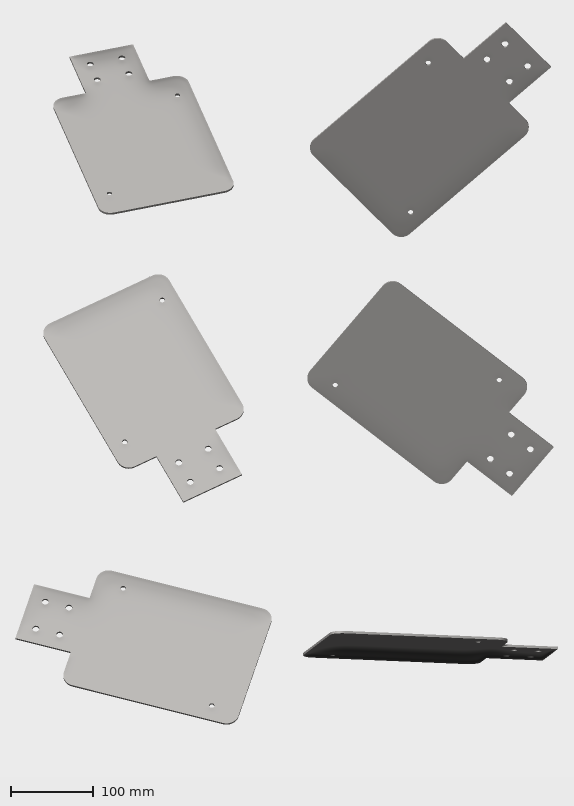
import cadquery as cq

total_length = 290.0
panel_width = 170.0
thickness = 3.0
corner_radius = 15.0

tab_length = 70.0
tab_width = 80.0
tab_hole_diameter = 8.0
tab_hole_edge_distance = 20.0
tab_hole_spacing_x = 30.0
tab_hole_spacing_y = 40.0

panel_hole_diameter = 6.5
panel_hole_inset_x = 35.0
panel_hole_inset_y = 20.0

left_end = -total_length / 2
panel_length = total_length - tab_length
panel_center_x = left_end + tab_length + panel_length / 2
tab_hole_center_x = left_end + tab_hole_edge_distance + tab_hole_spacing_x / 2
panel_hole_x = panel_length / 2 - panel_hole_inset_x
panel_hole_y = panel_width / 2 - panel_hole_inset_y

panel = (
    cq.Workplane("XY")
    .center(panel_center_x, 0)
    .rect(panel_length, panel_width)
    .extrude(thickness)
    .edges("|Z")
    .fillet(corner_radius)
)

tab = (
    cq.Workplane("XY")
    .center(left_end + tab_length / 2, 0)
    .rect(tab_length, tab_width)
    .extrude(thickness)
)

tab_holes = (
    cq.Workplane("XY")
    .center(tab_hole_center_x, 0)
    .rarray(tab_hole_spacing_x, tab_hole_spacing_y, 2, 2)
    .circle(tab_hole_diameter / 2)
    .extrude(thickness)
)
panel_holes = (
    cq.Workplane("XY")
    .center(panel_center_x, 0)
    .pushPoints([(-panel_hole_x, panel_hole_y), (panel_hole_x, -panel_hole_y)])
    .circle(panel_hole_diameter / 2)
    .extrude(thickness)
)

result = panel.union(tab).cut(tab_holes).cut(panel_holes)